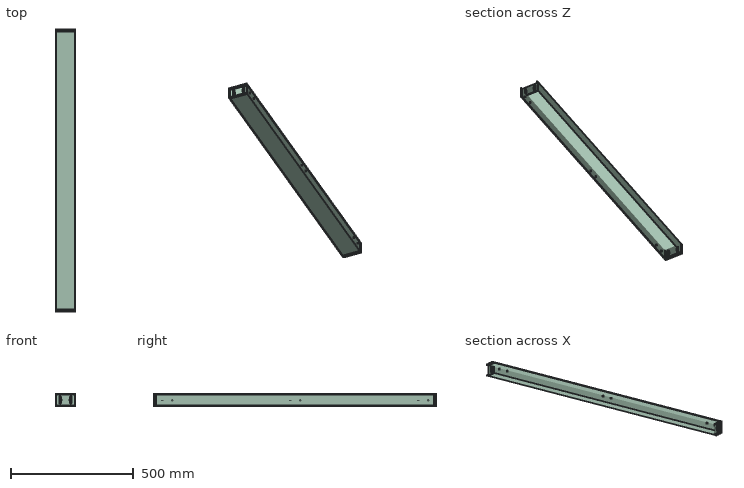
import cadquery as cq

length = 1150.0
width = 80.0
height = 50.0
wall = 2.5
edge_radius = 2.0
bore_width = width - 2 * wall
bore_height = height - 2 * wall

cap_thickness = 3.0
cap_setback = 7.0
cap_centre_y = length / 2 - cap_setback - cap_thickness / 2

large_hole_diameter = 9.0
small_hole_diameter = 6.7
large_hole_x = 21.0
small_hole_x = 22.0
small_hole_z = 10.0

side_hole_diameter = 5.0
side_hole_spacing = 40.0
end_pair_y = 521.0


def make_housing():
    tube = cq.Workplane("XY").box(width, length, height).edges("|Y").fillet(edge_radius)
    bore = cq.Workplane("XY").box(bore_width, length, bore_height)
    pair_centres = (-end_pair_y, 0, end_pair_y)
    hole_places = [
        (pair_y + side * side_hole_spacing / 2, 0)
        for pair_y in pair_centres
        for side in (-1, 1)
    ]
    side_holes = (
        cq.Workplane("YZ", origin=(-width / 2, 0, 0))
        .pushPoints(hole_places)
        .circle(side_hole_diameter / 2)
        .extrude(wall)
    )
    return tube.cut(bore).cut(side_holes)


def cap_holes(places, diameter):
    """Cylinders along Y, as long as the cap is thick."""
    return (
        cq.Workplane("XZ")
        .pushPoints(places)
        .circle(diameter / 2)
        .extrude(cap_thickness / 2, both=True)
    )


def make_cap(centre_y):
    plate = cq.Workplane("XY").box(bore_width, cap_thickness, bore_height)
    large_places = [(side * large_hole_x, 0) for side in (-1, 1)]
    small_places = [
        (side * small_hole_x, level * small_hole_z)
        for side in (-1, 1)
        for level in (-1, 1)
    ]
    plate = plate.cut(cap_holes(large_places, large_hole_diameter))
    plate = plate.cut(cap_holes(small_places, small_hole_diameter))
    return plate.translate((0, centre_y, 0))


housing = make_housing()
end_caps = [make_cap(end * cap_centre_y) for end in (-1, 1)]

result = cq.Compound.makeCompound([housing.val(), *[cap.val() for cap in end_caps]])